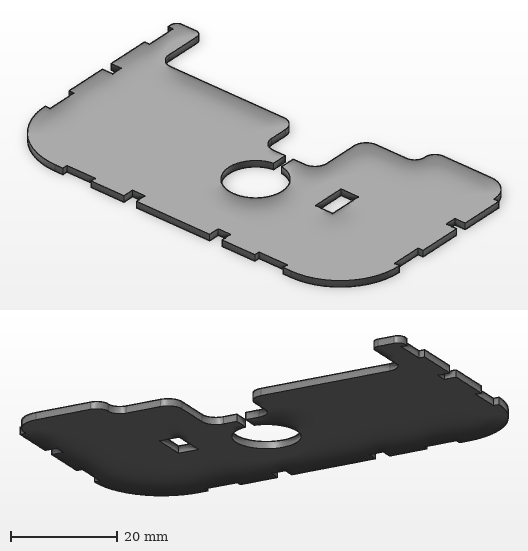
import cadquery as cq

length = 87
height = 53.0
thickness = 1.5
bottom_corner_radius = 14.5

arm_width = 6.4
arm_tip_radius = 1.5
left_shoulder_y = 40.3
channel_floor_y = 30.3
channel_width = 13.6
middle_shoulder_y = 44.2
upper_step_x = 66.4
right_shoulder_y = 49.2
step_radius = 3.0
upper_step_radius = 2.4
right_shoulder_radius = 5.2

hole_x = 46.8
hole_y = 20.4
hole_radius = 6.5
slit_width = 1.9

window_x = 63.5
window_y = 24.3
window_width = 4.3
window_height = 7.6

long_notch_length = 7
long_notch_depth = 1.2
short_notch_depth = 2.5
side_short_notch_length = 2.5
bottom_short_notch_length = 3.05
side_notch_center_y = 32.6
side_long_notch_offset = 14.6
bottom_long_notch_offset = 23.6
bottom_short_notch_offset = 10.5

middle_x = length / 2
channel_left_x = hole_x - channel_width / 2
channel_right_x = hole_x + channel_width / 2
right_shoulder_x = length - long_notch_depth
right_ledge_y = side_notch_center_y + side_long_notch_offset - long_notch_length / 2


def block(center_x, center_y, size_x, size_y):
    """Box through the plate thickness, centred on a point of the plate."""
    return cq.Workplane("XY").center(center_x, center_y).rect(size_x, size_y).extrude(thickness)


def round_corner(plate, x, y, radius):
    """Round the vertical edge that stands at one corner of the outline."""
    reach = 0.1
    selector = cq.selectors.BoxSelector(
        (x - reach, y - reach, -reach),
        (x + reach, y + reach, thickness + reach),
    )
    return plate.edges("|Z").edges(selector).fillet(radius)


def make_plate():
    outline = [
        (0, 0),
        (length, 0),
        (length, right_ledge_y),
        (right_shoulder_x, right_ledge_y),
        (right_shoulder_x, right_shoulder_y),
        (upper_step_x, right_shoulder_y),
        (upper_step_x, middle_shoulder_y),
        (channel_right_x, middle_shoulder_y),
        (channel_right_x, channel_floor_y),
        (channel_left_x, channel_floor_y),
        (channel_left_x, left_shoulder_y),
        (arm_width, left_shoulder_y),
        (arm_width, height),
        (0, height),
    ]
    corners = [
        (0, 0, bottom_corner_radius),
        (length, 0, bottom_corner_radius),
        (right_shoulder_x, right_shoulder_y, right_shoulder_radius),
        (upper_step_x, right_shoulder_y, upper_step_radius),
        (upper_step_x, middle_shoulder_y, upper_step_radius),
        (channel_right_x, middle_shoulder_y, step_radius),
        (channel_right_x, channel_floor_y, step_radius),
        (channel_left_x, channel_floor_y, step_radius),
        (channel_left_x, left_shoulder_y, step_radius),
        (arm_width, left_shoulder_y, step_radius),
        (arm_width, height, arm_tip_radius),
        (0, height, arm_tip_radius),
    ]
    plate = cq.Workplane("XY").polyline(outline).close().extrude(thickness)
    for x, y, radius in corners:
        plate = round_corner(plate, x, y, radius)
    return plate


def cut_openings(plate):
    hole = cq.Workplane("XY").center(hole_x, hole_y).circle(hole_radius).extrude(thickness)
    slit_length = channel_floor_y - hole_y
    slit = block(hole_x, hole_y + slit_length / 2, slit_width, slit_length)
    window = block(window_x, window_y, window_width, window_height)
    return plate.cut(hole).cut(slit).cut(window)


def cut_notches(plate):
    lower_y = side_notch_center_y - side_long_notch_offset
    upper_y = side_notch_center_y + side_long_notch_offset
    for edge_x in (0, length):
        plate = plate.cut(block(edge_x, lower_y, 2 * long_notch_depth, long_notch_length))
        plate = plate.cut(
            block(edge_x, side_notch_center_y, 2 * short_notch_depth, side_short_notch_length)
        )
    plate = plate.cut(block(0, upper_y, 2 * long_notch_depth, long_notch_length))

    for side in (-1, 1):
        long_x = middle_x + side * bottom_long_notch_offset
        short_x = middle_x + side * bottom_short_notch_offset
        plate = plate.cut(block(long_x, 0, long_notch_length, 2 * long_notch_depth))
        plate = plate.cut(block(short_x, 0, bottom_short_notch_length, 2 * short_notch_depth))
    return plate


result = cut_notches(cut_openings(make_plate()))